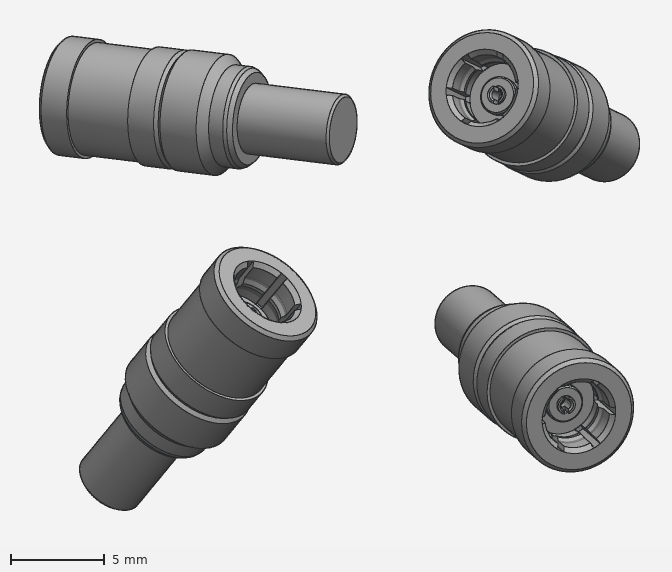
import cadquery as cq

BODY_RADIUS = 3.2
RELIEF_RADIUS = 3.03
NECK_RADIUS = 3.05
COLLAR_RADIUS = 3.25
COLLAR_BEVEL_LENGTH = 0.2
FRONT_CHAMFER = 0.2
FRONT_BAND_END = 1.7
REAR_BAND_START = 5.28
NECK_X = 7.0
REAR_BAND_BEVEL_LENGTH = 0.2
COLLAR_CONE_START = 9.32
FERRULE_START = 9.82
FERRULE_RADIUS = 2.75
FERRULE_TAPER_START = 10.65
FERRULE_BEVEL_START = 10.85
FERRULE_BEVEL_RADIUS = 2.68
FERRULE_END = 11.1
FERRULE_END_RADIUS = 2.48
TAIL_RADIUS = 1.9
TAIL_CHAMFER = 0.13
TOTAL_LENGTH = 16.45

MOUTH_RADIUS = 2.1
BORE_RADIUS = 1.85
MOUTH_CHAMFER = MOUTH_RADIUS - BORE_RADIUS
SNAP_RADIUS = 1.7
SNAP_FOOT_HEIGHT = 0.02
SNAP_FOOT_LENGTH = 0.1
SNAP_RISE_LENGTH = 0.27
SNAP_FALL_LENGTH = 0.2
SNAP_CREST_START = 1.43
SNAP_CREST_END = 1.62
REAR_BORE_RADIUS = 1.81
SOCKET_DEPTH = 2.45
SLOT_COUNT = 6
SLOT_WIDTH = 0.4
SLOT_DEPTH = 2.55

BOSS_RADIUS = 1.02
BOSS_CHAMFER = 0.08
BOSS_FACE_X = 2.0
CONTACT_RADIUS = 0.49
CONTACT_PROTRUSION = 0.2
CONTACT_TIP_X = BOSS_FACE_X - CONTACT_PROTRUSION
CONTACT_HOLE_RADIUS = 0.28
CONTACT_HOLE_DEPTH = 1.0
CONTACT_CONE_DEPTH = 0.2
CONTACT_LEAD_IN = 0.1
CONTACT_SLOT_WIDTH = 0.26
CONTACT_SLOT_DEPTH = 0.6


def revolve_about_x(profile):
    """Solid of revolution about X from (x, radius) points that start and end on the axis."""
    return cq.Workplane("XZ").polyline(profile).close().revolve(360, (0, 0, 0), (1, 0, 0))


def outer_shell():
    return revolve_about_x([
        (0, 0),
        (0, BODY_RADIUS - FRONT_CHAMFER),
        (FRONT_CHAMFER, BODY_RADIUS),
        (FRONT_BAND_END, BODY_RADIUS),
        (FRONT_BAND_END, RELIEF_RADIUS),
        (REAR_BAND_START, RELIEF_RADIUS),
        (REAR_BAND_START, BODY_RADIUS),
        (NECK_X - REAR_BAND_BEVEL_LENGTH, BODY_RADIUS),
        (NECK_X, NECK_RADIUS),
        (NECK_X + COLLAR_BEVEL_LENGTH, COLLAR_RADIUS),
        (COLLAR_CONE_START, COLLAR_RADIUS),
        (FERRULE_START, FERRULE_RADIUS),
        (FERRULE_TAPER_START, FERRULE_RADIUS),
        (FERRULE_BEVEL_START, FERRULE_BEVEL_RADIUS),
        (FERRULE_END, FERRULE_END_RADIUS),
        (FERRULE_END, TAIL_RADIUS),
        (TOTAL_LENGTH - TAIL_CHAMFER, TAIL_RADIUS),
        (TOTAL_LENGTH, TAIL_RADIUS - TAIL_CHAMFER),
        (TOTAL_LENGTH, 0),
    ])


def socket_bore():
    """Bore with a chamfered mouth and an inward snap ridge part-way down."""
    rise_start = SNAP_CREST_START - SNAP_RISE_LENGTH
    fall_end = SNAP_CREST_END + SNAP_FALL_LENGTH
    return revolve_about_x([
        (0, 0),
        (0, MOUTH_RADIUS),
        (MOUTH_CHAMFER, BORE_RADIUS),
        (rise_start - SNAP_FOOT_LENGTH, BORE_RADIUS),
        (rise_start, BORE_RADIUS - SNAP_FOOT_HEIGHT),
        (SNAP_CREST_START, SNAP_RADIUS),
        (SNAP_CREST_END, SNAP_RADIUS),
        (fall_end, REAR_BORE_RADIUS - SNAP_FOOT_HEIGHT),
        (fall_end + SNAP_FOOT_LENGTH, REAR_BORE_RADIUS),
        (SOCKET_DEPTH, REAR_BORE_RADIUS),
        (SOCKET_DEPTH, 0),
    ])


def finger_slots():
    """Radial slots that divide the socket wall into spring fingers."""
    bar = cq.Workplane("YZ").rect(2 * MOUTH_RADIUS, SLOT_WIDTH).extrude(SLOT_DEPTH)
    slots = bar
    for index in range(1, SLOT_COUNT // 2):
        slots = slots.union(bar.rotate((0, 0, 0), (1, 0, 0), index * 360 / SLOT_COUNT))
    wall_ring = (
        cq.Workplane("YZ")
        .circle(MOUTH_RADIUS)
        .circle(REAR_BORE_RADIUS)
        .extrude(SLOT_DEPTH)
    )
    ridge_core = cq.Workplane("YZ").circle(REAR_BORE_RADIUS).extrude(SOCKET_DEPTH)
    return slots.intersect(wall_ring.union(ridge_core))


def insulator_boss():
    return revolve_about_x([
        (BOSS_FACE_X, 0),
        (BOSS_FACE_X, BOSS_RADIUS - BOSS_CHAMFER),
        (BOSS_FACE_X + BOSS_CHAMFER, BOSS_RADIUS),
        (SOCKET_DEPTH, BOSS_RADIUS),
        (SOCKET_DEPTH, 0),
    ])


def contact_pin():
    tip = cq.Workplane("YZ", origin=(CONTACT_TIP_X, 0, 0))
    return tip.circle(CONTACT_RADIUS).extrude(CONTACT_PROTRUSION)


def contact_hole():
    """Blind hole with a lead-in chamfer and a conical bottom."""
    hole_end = CONTACT_TIP_X + CONTACT_HOLE_DEPTH
    return revolve_about_x([
        (CONTACT_TIP_X, 0),
        (CONTACT_TIP_X, CONTACT_HOLE_RADIUS + CONTACT_LEAD_IN),
        (CONTACT_TIP_X + CONTACT_LEAD_IN, CONTACT_HOLE_RADIUS),
        (hole_end, CONTACT_HOLE_RADIUS),
        (hole_end + CONTACT_CONE_DEPTH, 0),
    ])


def contact_slot():
    """Slot across the contact tip, kept within the contact's own diameter."""
    tip = cq.Workplane("YZ", origin=(CONTACT_TIP_X, 0, 0))
    bar = tip.rect(CONTACT_SLOT_WIDTH, 2 * CONTACT_RADIUS).extrude(CONTACT_SLOT_DEPTH)
    envelope = tip.circle(CONTACT_RADIUS).extrude(CONTACT_SLOT_DEPTH)
    return bar.intersect(envelope)


shell = outer_shell().cut(socket_bore()).cut(finger_slots())
core = insulator_boss().union(contact_pin()).cut(contact_slot())
result = shell.union(core).cut(contact_hole())